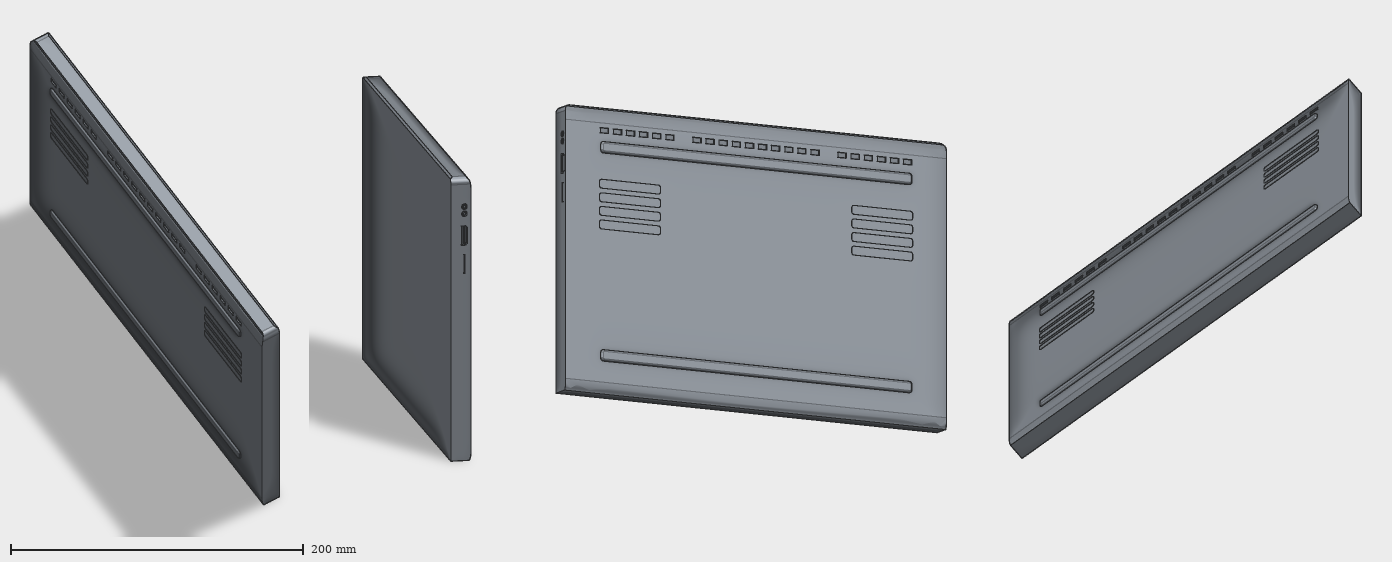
import cadquery as cq


width = 295.5
height = 199.2
total_depth = 15.7
foot_rise = 1.5
depth = total_depth - foot_rise
corner_radius = 4.7
back_edge_inset = 1.8
back_edge_drop = 1.0

top_curve_height = 11.0
top_curve_drop = 2.0
top_curve_crown = 2.0
bottom_curve_height = 8.0
bottom_curve_drop = 1.5
bottom_curve_crown = 1.5
top_edge_inset = 0.5
top_edge_drop = 1.2

foot_length = 241.2
foot_height = 8.0
foot_corner_radius = 2.0
foot_edge_radius = 1.42
foot_centers_z = (26.5, 171.5)

slot_length = 47.3
slot_height = 6.2
slot_corner_radius = 1.8
slot_pitch = 9.5
slots_per_grille = 4
slot_depth = 0.15
grille_outer_x = 121.5
top_slot_z = 146.0

vent_length = 6.5
vent_height = 3.5
vent_depth = 1.2
vent_z = 183.3
side_vent_count = 6
side_row_length = 57.3
vent_pitch = (side_row_length - vent_length) / (side_vent_count - 1)
middle_vent_count = 10
vent_row_outer_x = 121.0

port_depth = 3.0
port_y = -9.5
jack_diameter = 3.8
jack_pin_diameter = 1.8
jack_centers_z = (178.8, 173.8)
display_port_length = 13.5
display_port_width = 4.5
display_port_chamfer = 1.5
display_port_z = 158.5
tongue_length = 11.2
tongue_width = 1.0
card_slot_length = 13.3
card_slot_width = 1.0
card_slot_z = 138.3


def make_body():
    """Long-edge profile swept along X, with the two top corners rounded."""
    top_curve_end = -depth + top_curve_drop
    profile = (
        cq.Workplane("YZ", origin=(-width / 2, 0, 0))
        .moveTo(0, 0)
        .lineTo(-depth + bottom_curve_drop, 0)
        .bezier([(-depth, bottom_curve_crown), (-depth, bottom_curve_height)], includeCurrent=True)
        .lineTo(-depth, height - top_curve_height)
        .bezier(
            [(-depth, height - top_curve_crown), (top_curve_end, height - top_edge_drop)],
            includeCurrent=True,
        )
        .lineTo(top_curve_end + top_edge_inset, height)
        .lineTo(-back_edge_inset, height)
        .lineTo(0, height - back_edge_drop)
        .close()
    )
    slab = profile.extrude(width)
    outline = (
        cq.Workplane("XZ")
        .rect(width, 2 * height)
        .extrude(depth)
        .edges("|Y and >Z")
        .fillet(corner_radius)
    )
    return slab.intersect(outline)


def make_foot(center_z):
    """Bar with rounded edges, standing on the flat of the underside."""
    foot = (
        cq.Workplane("XZ", origin=(0, -depth, center_z))
        .rect(foot_length, foot_height)
        .extrude(foot_rise)
        .edges("|Y")
        .fillet(foot_corner_radius)
    )
    return foot.faces("<Y").edges().fillet(foot_edge_radius)


def underside_cutter(length, tall, cut_depth, centers):
    """Rectangular blocks reaching into the underside at the given (x, z) centers."""
    return (
        cq.Workplane("XZ", origin=(0, -depth, 0))
        .pushPoints(centers)
        .rect(length, tall)
        .extrude(-cut_depth)
    )


def make_grilles():
    center_x = grille_outer_x - slot_length / 2
    centers = [
        (side * center_x, top_slot_z - row * slot_pitch)
        for side in (-1, 1)
        for row in range(slots_per_grille)
    ]
    slots = underside_cutter(slot_length, slot_height, slot_depth, centers)
    return slots.edges("|Y").fillet(slot_corner_radius)


def make_vents():
    outer_center = vent_row_outer_x - vent_length / 2
    side_xs = [outer_center - i * vent_pitch for i in range(side_vent_count)]
    middle_xs = [(i - (middle_vent_count - 1) / 2) * vent_pitch for i in range(middle_vent_count)]
    xs = side_xs + middle_xs + [-x for x in side_xs]
    return underside_cutter(vent_length, vent_height, vent_depth, [(x, vent_z) for x in xs])


def side_plane(center_z):
    """Plane on the -X side, local x along +Y and local y along +Z."""
    return cq.Workplane("YZ", origin=(-width / 2, port_y, center_z))


def make_ports():
    """Card slot, two pin jacks and a display port with a tongue, as solids to remove."""
    ports = side_plane(card_slot_z).rect(card_slot_width, card_slot_length).extrude(port_depth)
    for jack_z in jack_centers_z:
        jack = side_plane(jack_z).circle(jack_diameter / 2).circle(jack_pin_diameter / 2)
        ports = ports.union(jack.extrude(port_depth))
    display_port = (
        side_plane(display_port_z)
        .rect(display_port_width, display_port_length)
        .extrude(port_depth)
        .edges("|X and <Y")
        .chamfer(display_port_chamfer)
    )
    tongue = side_plane(display_port_z).rect(tongue_width, tongue_length).extrude(port_depth)
    return ports.union(display_port.cut(tongue))


result = make_body()
for foot_z in foot_centers_z:
    result = result.union(make_foot(foot_z))
result = result.cut(make_grilles()).cut(make_vents()).cut(make_ports())